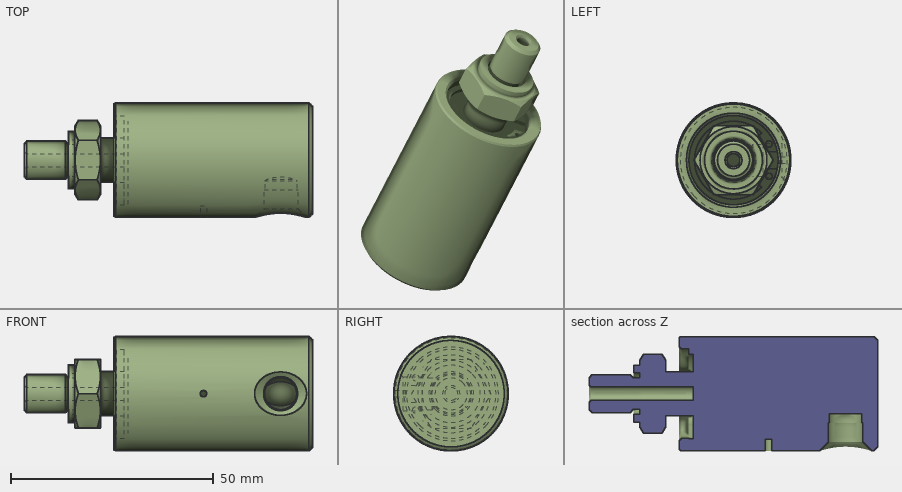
import cadquery as cq
import math

THREAD_END = 10.2
COLLAR_START = 10.95
NUT_START = 12.5
NUT_END = 19.0
BODY_START = 22.2
BODY_END = 71.5

THREAD_DIA = 9.5
THREAD_ROOT_DIA = 7.9
TIP_CHAMFER = 0.7
COLLAR_DIA = 14.3
COLLAR_RELIEF_DIA = 10.15
SHAFT_DIA = 11.0
BORE_DIA = 3.2
BORE_MOUTH_DIA = 4.2

NUT_ACROSS_FLATS = 17.0
NUT_FACE_DIA = 16.6
NUT_CORNER_DIA = NUT_ACROSS_FLATS / math.cos(math.radians(30))
NUT_CHAMFER = 0.9

BODY_DIA = 28.4
REAR_CHAMFER = 1.0
FRONT_CHAMFER_LENGTH = 0.5
FRONT_CHAMFER_HEIGHT = 0.3

RECESS_DIA = 22.1
RECESS_MOUTH_DIA = 23.3
RECESS_CHAMFER = (RECESS_MOUTH_DIA - RECESS_DIA) / 2
RING_SETBACK = 2.4
RING_THICKNESS = 1.0
RING_START = BODY_START + RING_SETBACK
RECESS_FLOOR = RING_START + RING_THICKNESS

RING_INNER_DIA = 19.3
RING_GAP = 4.15
LUG_INNER_DIA = 16.3
LUG_END_ANGLE = 44.0
LUG_HOLE_DIA = 1.6
LUG_HOLE_Y = -8.8
LUG_HOLE_Z = 4.0

PORT_X = 63.5
PORT_THREAD_DIA = 8.4
PORT_DRILL_DIA = 7.9
PORT_SINK_DIA = 12.9
PORT_THREAD_FLOOR = 7.3
PORT_DRILL_FLOOR = 4.7
DRILL_POINT_ANGLE = 118.0
INNER_ROD_DIA = 10.15

VENT_X = 44.4
VENT_DIA = 1.6
VENT_DEPTH = 2.85


def turned(profile):
    """Solid of revolution about X from a closed outline of (x, radius) points."""
    return cq.Workplane("XY").polyline(profile).close().revolve(360, (0, 0, 0), (1, 0, 0))


def rod_along_x(diameter, start, end):
    return cq.Workplane("YZ", origin=(start, 0, 0)).circle(diameter / 2).extrude(end - start)


def make_stud():
    thread_r = THREAD_DIA / 2
    root_r = THREAD_ROOT_DIA / 2
    stud = turned([
        (0, 0),
        (0, root_r),
        (TIP_CHAMFER, thread_r),
        (THREAD_END, thread_r),
        (COLLAR_START, root_r),
        (NUT_START, root_r),
        (NUT_START, 0),
    ])
    relief = rod_along_x(COLLAR_RELIEF_DIA, COLLAR_START, NUT_START)
    collar = rod_along_x(COLLAR_DIA, COLLAR_START, NUT_START).cut(relief)
    shaft = rod_along_x(SHAFT_DIA, NUT_START, RECESS_FLOOR)
    return stud.union(collar).union(shaft)


def make_bore():
    mouth_r = BORE_MOUTH_DIA / 2
    bore_r = BORE_DIA / 2
    return turned([
        (0, 0),
        (0, mouth_r),
        (mouth_r - bore_r, bore_r),
        (RECESS_FLOOR, bore_r),
        (RECESS_FLOOR, 0),
    ])


def make_nut():
    """Hexagon with corners on +Y and -Y, its ends trimmed by cones."""
    prism = (
        cq.Workplane("YZ", origin=(NUT_START, 0, 0))
        .polygon(6, NUT_CORNER_DIA)
        .extrude(NUT_END - NUT_START)
    )
    envelope = turned([
        (NUT_START, 0),
        (NUT_START, NUT_FACE_DIA / 2),
        (NUT_START + NUT_CHAMFER, NUT_CORNER_DIA / 2),
        (NUT_END - NUT_CHAMFER, NUT_CORNER_DIA / 2),
        (NUT_END, NUT_FACE_DIA / 2),
        (NUT_END, 0),
    ])
    return prism.intersect(envelope)


def make_body():
    body_r = BODY_DIA / 2
    recess_r = RECESS_DIA / 2
    return turned([
        (RECESS_FLOOR, 0),
        (RECESS_FLOOR, recess_r),
        (BODY_START + RECESS_CHAMFER, recess_r),
        (BODY_START, RECESS_MOUTH_DIA / 2),
        (BODY_START, body_r - FRONT_CHAMFER_HEIGHT),
        (BODY_START + FRONT_CHAMFER_LENGTH, body_r),
        (BODY_END - REAR_CHAMFER, body_r),
        (BODY_END, body_r - REAR_CHAMFER),
        (BODY_END, 0),
    ])


def make_retaining_ring():
    """Flat ring on the recess floor: a thin band with two drilled lugs beside its gap."""
    plane = cq.Workplane("YZ", origin=(RING_START, 0, 0))
    outer_r = RECESS_DIA / 2
    band = plane.circle(outer_r).circle(RING_INNER_DIA / 2).extrude(RING_THICKNESS)
    lug_reach = 2 * outer_r
    lug_rise = lug_reach * math.tan(math.radians(LUG_END_ANGLE))
    lug_zone = (
        plane.polyline([(0, 0), (-lug_reach, lug_rise), (-lug_reach, -lug_rise)])
        .close()
        .extrude(RING_THICKNESS)
    )
    lugs = plane.circle(outer_r).circle(LUG_INNER_DIA / 2).extrude(RING_THICKNESS).intersect(lug_zone)
    gap = plane.center(-outer_r, 0).rect(2 * outer_r, RING_GAP).extrude(RING_THICKNESS)
    lug_holes = (
        plane.pushPoints([(LUG_HOLE_Y, LUG_HOLE_Z), (LUG_HOLE_Y, -LUG_HOLE_Z)])
        .circle(LUG_HOLE_DIA / 2)
        .extrude(RING_THICKNESS)
    )
    return band.union(lugs).cut(gap).cut(lug_holes)


def make_port():
    """Countersunk threaded hole with a drill point; the inner rod stands proud of its floor."""
    surface = BODY_DIA / 2
    sink_r = PORT_SINK_DIA / 2
    thread_r = PORT_THREAD_DIA / 2
    drill_r = PORT_DRILL_DIA / 2
    sink_floor = surface - (sink_r - thread_r)
    point_length = drill_r / math.tan(math.radians(DRILL_POINT_ANGLE / 2))
    pocket = (
        cq.Workplane("XY")
        .polyline([
            (PORT_X, -surface),
            (PORT_X + sink_r, -surface),
            (PORT_X + thread_r, -sink_floor),
            (PORT_X + thread_r, -PORT_THREAD_FLOOR),
            (PORT_X + drill_r, -PORT_THREAD_FLOOR),
            (PORT_X + drill_r, -PORT_DRILL_FLOOR),
            (PORT_X, point_length - PORT_DRILL_FLOOR),
        ])
        .close()
        .revolve(360, (PORT_X, 0, 0), (PORT_X, 1, 0))
    )
    return pocket.cut(rod_along_x(INNER_ROD_DIA, PORT_X - sink_r, PORT_X + sink_r))


def make_vent():
    return (
        cq.Workplane("XZ", origin=(VENT_X, -BODY_DIA / 2, 0))
        .circle(VENT_DIA / 2)
        .extrude(-VENT_DEPTH)
    )


result = (
    make_body()
    .union(make_stud())
    .union(make_nut())
    .union(make_retaining_ring())
    .cut(make_bore())
    .cut(make_port())
    .cut(make_vent())
)